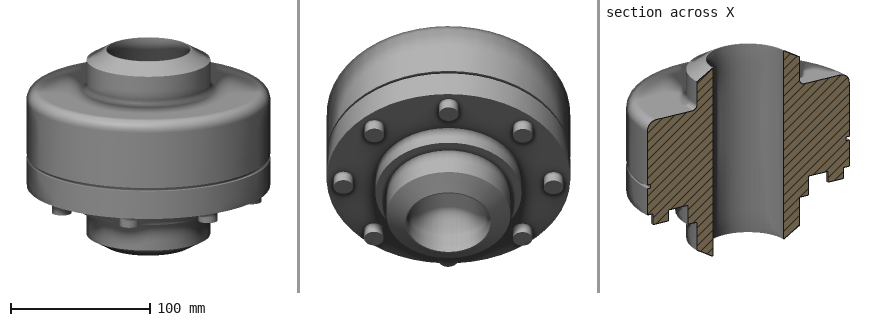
import cadquery as cq

body_diameter = 175.0
groove_diameter = 169.0
flange_diameter = 104.8
pipe_diameter = 88.9
tip_diameter = 62.3
bore_diameter = 60.5
bolt_diameter = 14.0
bolt_circle_diameter = 150.8

total_height = 145.0
flange_bottom = 29.0
bolt_bottom = 35.4
body_bottom = 43.8
groove_bottom = 64.4
groove_top = 66.8
body_top = 116.0

bevel_height = 7.5
shoulder_radius = 7.9
neck_radius = 4.0
bolt_count = 8


def cylinder(diameter, bottom, top):
    """Upright cylinder on the part axis between two heights."""
    return cq.Workplane("XY").workplane(offset=bottom).circle(diameter / 2).extrude(top - bottom)


def make_pipe():
    """Pipe with weld bevels at both ends and a concave fillet above the body."""
    pipe_radius = pipe_diameter / 2
    tip_radius = tip_diameter / 2
    arc_middle = neck_radius * (1 - 0.5 ** 0.5)
    return (
        cq.Workplane("XZ")
        .lineTo(tip_radius, 0)
        .lineTo(pipe_radius, bevel_height)
        .lineTo(pipe_radius, body_top)
        .lineTo(pipe_radius + neck_radius, body_top)
        .threePointArc(
            (pipe_radius + arc_middle, body_top + arc_middle),
            (pipe_radius, body_top + neck_radius),
        )
        .lineTo(pipe_radius, total_height - bevel_height)
        .lineTo(tip_radius, total_height)
        .lineTo(0, total_height)
        .close()
        .revolve(360, (0, 0, 0), (0, 1, 0))
    )


def make_body():
    """Two discs parted by a shallow groove, with a rounded upper rim."""
    lower_disc = cylinder(body_diameter, body_bottom, groove_bottom)
    groove_core = cylinder(groove_diameter, groove_bottom, groove_top)
    upper_disc = cylinder(body_diameter, groove_top, body_top).faces(">Z").edges().fillet(shoulder_radius)
    return lower_disc.union(groove_core).union(upper_disc)


def make_bolts():
    """Ring of bolt heads below the lower disc, the first one on the X axis."""
    return (
        cq.Workplane("XY")
        .workplane(offset=bolt_bottom)
        .polarArray(bolt_circle_diameter / 2, 0, 360, bolt_count)
        .circle(bolt_diameter / 2)
        .extrude(body_bottom - bolt_bottom)
    )


flange = cylinder(flange_diameter, flange_bottom, body_bottom)
bore = cylinder(bore_diameter, 0, total_height)

result = make_body().union(make_pipe()).union(flange).union(make_bolts()).cut(bore)